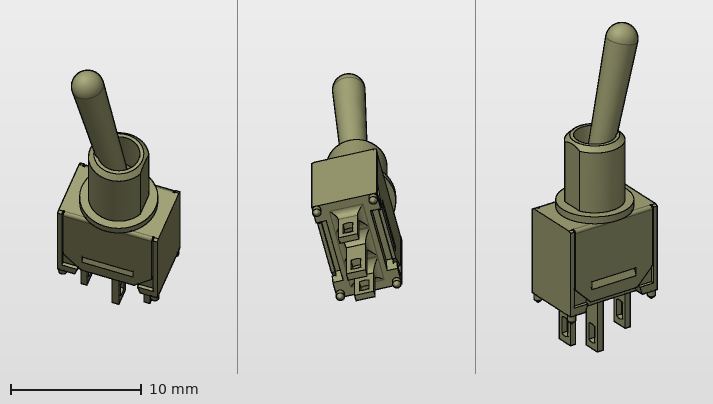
import cadquery as cq
import math


overall_height = 27.0

body_length = 8.13
body_width = 5.1
body_height = 7.3
end_edge_drop = 0.1
end_edge_inset = 0.25

cover_thickness = 0.3
cover_gap = 0.1
pocket_length = 7.42
pocket_floor = 0.68
cover_length = pocket_length - 2 * cover_gap
cover_bottom = 0.75
cover_corner = 1.43
cover_bend_radius = 0.27

louver_length = 4.15
louver_bottom = 1.78
louver_top = 2.45

notch_bottom_length = 5.32
notch_top_length = 4.62
notch_height = 1.08
notch_depth = 0.8

flange_diameter = 6.0
flange_thickness = 0.6
bushing_diameter = 4.65
bushing_top = 13.42
bushing_chamfer = 0.4
bushing_flat_offset = 2.1
bore_diameter = 3.25

pivot_height = 9.5
lever_tilt = 12.5
lever_root_radius = 0.92
lever_tip_radius = 1.255

terminal_pitch = 2.56
terminal_width = 1.5
centre_terminal_thickness = 0.57
centre_terminal_length = 4.83
outer_terminal_thickness = 0.49
outer_terminal_length = 3.56
eye_width = 0.75
eye_length = 1.6
eye_end_margin = 0.55
eye_end_rise = 0.1

embedded_height = 1.08

seal_height = 0.55
seal_wide_spread = 0.97
seal_narrow_spread = 0.57

foot_diameter = 0.65
foot_straight = 0.49
foot_tip = 0.32

tip_centre_height = overall_height - centre_terminal_length - lever_tip_radius
lever_length = (tip_centre_height - pivot_height) / math.cos(math.radians(lever_tilt))


def box_on(z_bottom, length, width, height):
    base = cq.Workplane("XY", origin=(0, 0, z_bottom))
    return base.box(length, width, height, centered=(True, True, False))


def front_prism(points, depth):
    """Extrude an XZ outline inward from the front face of the body."""
    front = cq.Workplane("XZ", origin=(0, -body_width / 2, 0))
    return front.polyline(points).close().extrude(-depth)


def make_cover():
    """Front cover panel with cut lower corners, a rounded top bend and a louver."""
    half = cover_length / 2
    outline = [
        (-half, body_height),
        (half, body_height),
        (half, cover_bottom + cover_corner),
        (half - cover_corner, cover_bottom),
        (cover_corner - half, cover_bottom),
        (-half, cover_bottom + cover_corner),
    ]
    panel = front_prism(outline, cover_thickness)
    panel = panel.edges("|X and >Z and <Y").fillet(cover_bend_radius)
    face_y = -body_width / 2
    louver = (
        cq.Workplane("YZ", origin=(-louver_length / 2, 0, 0))
        .polyline([(face_y, louver_bottom), (face_y, louver_top), (face_y + cover_thickness, louver_top)])
        .close()
        .extrude(louver_length)
    )
    return panel.cut(louver)


def make_body():
    """Block with pockets, lower notches and cover panels on both broad sides."""
    half = body_width / 2
    shoulder = body_height - end_edge_drop
    section = [
        (-half, 0),
        (half, 0),
        (half, shoulder),
        (half - end_edge_inset, body_height),
        (end_edge_inset - half, body_height),
        (-half, shoulder),
    ]
    end_plane = cq.Workplane("YZ", origin=(-body_length / 2, 0, 0))
    body = end_plane.polyline(section).close().extrude(body_length)

    pocket_half = pocket_length / 2
    pocket = front_prism(
        [
            (-pocket_half, pocket_floor),
            (pocket_half, pocket_floor),
            (pocket_half, body_height),
            (-pocket_half, body_height),
        ],
        cover_thickness,
    )
    notch = front_prism(
        [
            (-notch_bottom_length / 2, 0),
            (notch_bottom_length / 2, 0),
            (notch_top_length / 2, notch_height),
            (-notch_top_length / 2, notch_height),
        ],
        notch_depth,
    )
    cover = make_cover()
    for side_angle in (0, 180):
        for cutter in (pocket, notch):
            body = body.cut(cutter.rotate((0, 0, 0), (0, 0, 1), side_angle))
        body = body.union(cover.rotate((0, 0, 0), (0, 0, 1), side_angle))
    return body


def make_bushing():
    base = cq.Workplane("XY", origin=(0, 0, body_height))
    flange = base.circle(flange_diameter / 2).extrude(flange_thickness)
    sleeve = (
        base.circle(bushing_diameter / 2)
        .extrude(bushing_top - body_height)
        .faces(">Z")
        .chamfer(bushing_chamfer)
    )
    flat_shift = bushing_flat_offset - bushing_diameter / 2
    envelope = box_on(0, bushing_diameter, bushing_diameter, bushing_top).translate((flat_shift, 0, 0))
    return flange.union(sleeve.intersect(envelope))


def make_bore():
    """Bore whose floor is the upper half of the lever's pivot ball."""
    radius = bore_diameter / 2
    ball_mid = radius * math.sqrt(0.5)
    return (
        cq.Workplane("XZ")
        .moveTo(0, pivot_height + radius)
        .threePointArc((ball_mid, pivot_height + ball_mid), (radius, pivot_height))
        .lineTo(radius, bushing_top)
        .lineTo(0, bushing_top)
        .close()
        .revolve(360, (0, 0, 0), (0, 1, 0))
    )


def make_lever():
    tip_mid = lever_tip_radius * math.sqrt(0.5)
    upright = (
        cq.Workplane("XZ")
        .lineTo(lever_root_radius, 0)
        .lineTo(lever_tip_radius, lever_length)
        .threePointArc((tip_mid, lever_length + tip_mid), (0, lever_length + lever_tip_radius))
        .close()
        .revolve(360, (0, 0, 0), (0, 1, 0))
    )
    return upright.rotate((0, 0, 0), (0, 1, 0), -lever_tilt).translate((0, 0, pivot_height))


def make_terminal(thickness, length):
    blade = box_on(-length, thickness, terminal_width, length + embedded_height)
    bottom = eye_end_margin - length
    top = bottom + eye_length
    half = eye_width / 2
    eye = (
        cq.Workplane("YZ", origin=(-thickness / 2, 0, 0))
        .moveTo(-half, bottom + eye_end_rise)
        .threePointArc((0, bottom), (half, bottom + eye_end_rise))
        .lineTo(half, top - eye_end_rise)
        .threePointArc((0, top), (-half, top - eye_end_rise))
        .close()
        .extrude(thickness)
    )
    return blade.cut(eye)


def flare_profile(plane, half_width, left_spread, right_spread, depth):
    """Extruded trumpet outline whose concave arcs leave the blade and meet Z = 0 tangentially."""

    def arc_middle(spread):
        radius = (spread ** 2 + seal_height ** 2) / (2 * seal_height)
        half_sweep = math.atan2(seal_height, spread)
        return spread - radius * math.sin(half_sweep), radius * (math.cos(half_sweep) - 1)

    left_x, left_z = arc_middle(left_spread)
    right_x, right_z = arc_middle(right_spread)
    return (
        cq.Workplane(plane)
        .moveTo(-half_width - left_spread, 0)
        .threePointArc((-half_width - left_x, left_z), (-half_width, -seal_height))
        .lineTo(half_width, -seal_height)
        .threePointArc((half_width + right_x, right_z), (half_width + right_spread, 0))
        .lineTo(half_width + right_spread, embedded_height)
        .lineTo(-half_width - left_spread, embedded_height)
        .close()
        .extrude(depth / 2, both=True)
    )


def make_seal(thickness, left_spread, right_spread):
    """Flare around a terminal; its upper part is embedded in the body."""
    across = flare_profile("XZ", thickness / 2, left_spread, right_spread, body_width)
    along = flare_profile("YZ", terminal_width / 2, seal_narrow_spread, seal_narrow_spread, body_length)
    return across.intersect(along)


def make_foot():
    """Short round peg with a conical tip."""
    radius = foot_diameter / 2
    return (
        cq.Workplane("XZ")
        .lineTo(radius, 0)
        .lineTo(radius, -foot_straight)
        .lineTo(0, -foot_straight - foot_tip)
        .close()
        .revolve(360, (0, 0, 0), (0, 1, 0))
    )


result = make_body().union(make_bushing()).cut(make_bore()).union(make_lever())

terminals = [
    (-terminal_pitch, outer_terminal_thickness, outer_terminal_length, seal_narrow_spread, seal_wide_spread),
    (0, centre_terminal_thickness, centre_terminal_length, seal_wide_spread, seal_wide_spread),
    (terminal_pitch, outer_terminal_thickness, outer_terminal_length, seal_wide_spread, seal_narrow_spread),
]
for x, thickness, length, left_spread, right_spread in terminals:
    result = result.union(make_seal(thickness, left_spread, right_spread).translate((x, 0, 0)))
    result = result.union(make_terminal(thickness, length).translate((x, 0, 0)))

foot_x = (body_length - foot_diameter) / 2
foot_y = (body_width - foot_diameter) / 2
for x_sign in (-1, 1):
    for y_sign in (-1, 1):
        result = result.union(make_foot().translate((x_sign * foot_x, y_sign * foot_y, 0)))